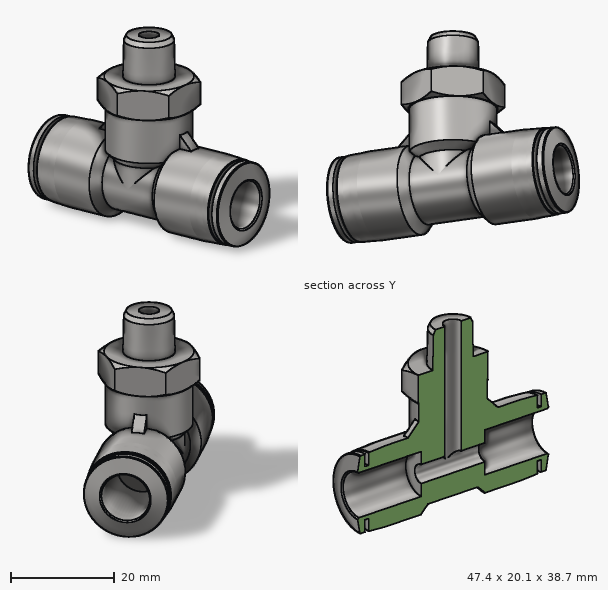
import cadquery as cq
import math

half_length = 47.4 / 2
body_radius = 17.5 / 2
body_mouth_radius = 17.0 / 2
waist_radius = 6.95
body_inner_x = 7.9
taper_start_x = 16.5
taper_end_x = 19.55
taper_end_radius = 8.6
body_outer_x = 20.95
body_mouth_chamfer = 0.15

collar_radius = 16.8 / 2
collar_neck_radius = 11.5 / 2
collar_inner_x = 21.75
collar_rim_x = 22.9
collar_face_start_x = 23.15
collar_rim_drop = 0.15
collar_face_radius = 5.05

tube_radius = 9.55 / 2
bore_radius = 4.0 / 2
tube_stop_x = body_inner_x
mouth_chamfer_depth = 0.3

socket_radius = 17.0 / 2
socket_bottom_z = 6.5
hex_sides = 6
hex_bottom_z = 15.35
hex_top_z = 21.42
hex_across_flats = 17.45
hex_chamfer_angle = 30
stud_base_radius = 5.05
stud_end_radius = 4.95
stud_tip_radius = 4.4
stud_chamfer_height = 1.05
top_z = 38.7 - body_radius

rib_width = 2.45
rib_foot_x = 11.2
rib_overlap = 0.47


def revolve_about_z(points):
    """Revolve a closed (radius, z) outline around the Z axis."""
    return cq.Workplane("XZ").polyline(points).close().revolve(360, (0, 0), (0, 1))


def make_run_half():
    """Port on the +X side, with its collar and half of the waist."""
    shoulder_x = body_inner_x - (body_radius - waist_radius)
    return (
        cq.Workplane("XZ")
        .moveTo(0, 0)
        .lineTo(0, waist_radius)
        .lineTo(shoulder_x, waist_radius)
        .lineTo(body_inner_x, body_radius)
        .lineTo(taper_start_x, body_radius)
        .lineTo(taper_end_x, taper_end_radius)
        .lineTo(body_outer_x - body_mouth_chamfer, body_mouth_radius)
        .lineTo(body_outer_x, body_mouth_radius - body_mouth_chamfer)
        .lineTo(body_outer_x, collar_neck_radius)
        .lineTo(collar_inner_x, collar_neck_radius)
        .lineTo(collar_inner_x, collar_radius)
        .lineTo(collar_rim_x, collar_radius)
        .lineTo(collar_face_start_x, collar_radius - collar_rim_drop)
        .lineTo(half_length, collar_face_radius)
        .lineTo(half_length, 0)
        .close()
        .revolve(360, (0, 0), (1, 0))
    )


def make_socket():
    """Branch cylinder widening through a 45 degree cone into the socket."""
    cone_height = socket_radius - waist_radius
    return revolve_about_z([
        (0, 0),
        (waist_radius, 0),
        (waist_radius, socket_bottom_z - cone_height),
        (socket_radius, socket_bottom_z),
        (socket_radius, hex_bottom_z),
        (0, hex_bottom_z),
    ])


def make_hex():
    """Hexagon with corners on the Y axis, both ends chamfered by a cone."""
    corner_diameter = hex_across_flats / math.cos(math.pi / hex_sides)
    corner_radius = corner_diameter / 2
    flat_radius = hex_across_flats / 2
    drop = (corner_radius - flat_radius) * math.tan(math.radians(hex_chamfer_angle))
    prism = (
        cq.Workplane("XY", origin=(0, 0, hex_bottom_z))
        .transformed(rotate=(0, 0, 90))
        .polygon(hex_sides, corner_diameter)
        .extrude(hex_top_z - hex_bottom_z)
    )
    envelope = revolve_about_z([
        (0, hex_bottom_z),
        (flat_radius, hex_bottom_z),
        (corner_radius, hex_bottom_z + drop),
        (corner_radius, hex_top_z - drop),
        (flat_radius, hex_top_z),
        (0, hex_top_z),
    ])
    return prism.intersect(envelope)


def make_stud():
    """Slightly tapered stud with a chamfered tip."""
    return revolve_about_z([
        (0, hex_top_z),
        (stud_base_radius, hex_top_z),
        (stud_end_radius, top_z - stud_chamfer_height),
        (stud_tip_radius, top_z),
        (0, top_z),
    ])


def make_ribs():
    """One plate across the branch whose two ends slope at 45 degrees."""
    peak_z = body_radius + rib_foot_x
    inner_x = socket_radius - rib_overlap
    rib_top_z = peak_z - inner_x
    return (
        cq.Workplane("XZ")
        .polyline([
            (-rib_foot_x, body_radius),
            (-inner_x, rib_top_z),
            (inner_x, rib_top_z),
            (rib_foot_x, body_radius),
            (rib_foot_x, 0),
            (-rib_foot_x, 0),
        ])
        .close()
        .extrude(rib_width / 2, both=True)
    )


def make_bores():
    """Through bore on X, branch bore on Z and the two tube sockets with flared mouths."""
    bores = cq.Workplane("YZ").circle(bore_radius).extrude(half_length, both=True)
    bores = bores.union(cq.Workplane("XY").circle(bore_radius).extrude(top_z))
    tube_depth = half_length - tube_stop_x
    for side in (-1, 1):
        tube_socket = (
            cq.Workplane("YZ", origin=(side * tube_stop_x, 0, 0))
            .circle(tube_radius)
            .extrude(side * tube_depth)
            .faces(">X" if side > 0 else "<X")
            .workplane()
            .circle(collar_face_radius)
            .workplane(offset=-mouth_chamfer_depth)
            .circle(tube_radius)
            .loft(combine=True)
        )
        bores = bores.union(tube_socket)
    return bores


run_half = make_run_half()
result = run_half.union(run_half.mirror("YZ"))
for feature in (make_socket(), make_hex(), make_stud(), make_ribs()):
    result = result.union(feature)
result = result.cut(make_bores())